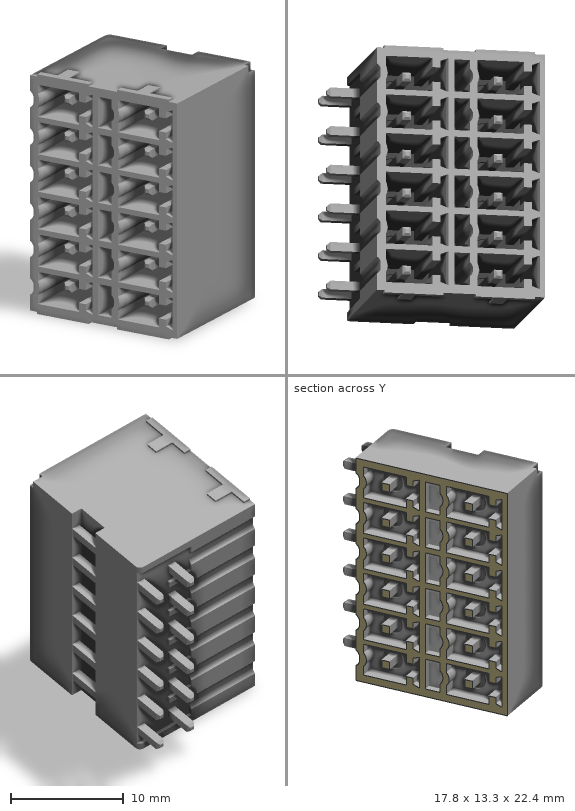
import cadquery as cq

body_width = 15.2
body_depth = 13.3
row_count = 6
row_pitch = 3.5
end_margin = 2.25
body_height = (row_count - 1) * row_pitch + 2 * end_margin
body_top = body_height / 2
row_heights = [(i - (row_count - 1) / 2) * row_pitch for i in range(row_count)]
rear_corner_radius = 0.5

column_pitch = 8.28
column_offsets = [0, column_pitch]
port_left = 0.8
port_width = 5.65
port_height = 3.0
port_depth = 8.0
mouth_taper_depth = 0.48
mouth_taper = 0.1
key_left = 5.03
key_thickness = 0.73
key_gap = 1.32
key_root_height = 2.56
key_slope_end = 6.38

groove_depth = 0.32
groove_half_width = 0.75
groove_flat_half_width = 0.35
flank_fullness = 0.6
groove_length = 7.3
bulge_half_width = 0.65
bulge_height = 0.28
bulge_mouth_height = 0.13

hollow_left = 7.0
hollow_height = 2.9
hollow_wall = 0.67
hollow_right = column_pitch + port_left - hollow_wall

recess_half_height_rear = 1.57
recess_half_height_front = 1.46
rib_thickness = 0.6
rib_length = 2.5

pin_size = 0.8
pin_tip_size = 0.36
tail_tip_length = 0.28
contact_tip_length = 0.22
contact_x = 3.01
contact_tip_y = 1.32
tail_end_x = -2.6
rear_tail_y = 12.85
tail_pitch = 3.5
socket_diameters = [2.0, 2.1]
socket_depth = 0.3

tab_left = 0.69
tab_width = 5.34
tab_bar_depth = 0.7
tab_stem_left = 2.4
tab_stem_width = 1.22
tab_length = 2.55
tab_height = 0.2

slot_left = 6.1
slot_width = 3.25
slot_depth = 1.07
corner_step_width = 0.45
corner_step_height = 0.75


def box(x, y, z, width, depth, height):
    """Box with its lowest corner at (x, y, z)."""
    return cq.Workplane("XY").box(width, depth, height, centered=False).translate((x, y, z))


def front_plane(y, x=0, z=0):
    """Plane parallel to the mating face; local X and Y run along global X and Z, normal to -Y."""
    return cq.Workplane("XZ", origin=(x, y, z))


def housing():
    """Plain block with one rounded rear edge."""
    body = box(0, 0, -body_top, body_width, body_depth, body_height)
    return body.edges("|Z and <X and >Y").fillet(rear_corner_radius)


def coding_tabs(x):
    """Matching T-shaped tabs above and below one column."""
    tabs = None
    for z in (body_top, -body_top - tab_height):
        bar = box(x + tab_left, 0, z, tab_width, tab_bar_depth, tab_height)
        stem = box(x + tab_stem_left, 0, z, tab_stem_width, tab_length, tab_height)
        tab = bar.union(stem)
        tabs = tab if tabs is None else tabs.union(tab)
    return tabs


def bulge_profile(workplane, height):
    """Circular segment standing on the local Y axis."""
    return (
        workplane.moveTo(0, -bulge_half_width)
        .threePointArc((height, 0), (0, bulge_half_width))
        .close()
    )


def bulge():
    """Rounded swelling on the left port wall, lower towards the mouth."""
    mouth = bulge_profile(front_plane(0), bulge_mouth_height)
    lead_in = bulge_profile(mouth.workplane(offset=-mouth_taper_depth), bulge_height).loft(ruled=True)
    deep = bulge_profile(front_plane(mouth_taper_depth), bulge_height)
    return lead_in.union(deep.extrude(mouth_taper_depth - port_depth))


def port_cavity(x, z):
    """Plug opening with two keys, a tapered right wall and a bulged left wall."""
    left = x + port_left
    right = left + port_width
    half = port_height / 2
    key_x = x + key_left
    key_end = key_x + key_thickness
    slope_end = x + key_slope_end
    upper = [
        (left, half),
        (key_x, half),
        (key_x, key_gap / 2),
        (key_end, key_gap / 2),
        (key_end, key_root_height / 2),
        (slope_end, half),
        (right, half),
    ]
    lower = [(px, -pz) for px, pz in reversed(upper)]
    cavity = front_plane(0, z=z).polyline(upper + lower).close().extrude(-port_depth)
    wall = (
        cq.Workplane("XY", origin=(0, 0, z - half))
        .polyline([
            (right, 0),
            (right - mouth_taper, mouth_taper_depth),
            (right - mouth_taper, port_depth),
            (right, port_depth),
        ])
        .close()
        .extrude(port_height)
    )
    return cavity.cut(wall).cut(bulge().translate((left, 0, z)))


def groove(x, z):
    """Flat-bottomed channel with rounded flanks, sunk into a wall facing -X."""
    mid_x = groove_depth * flank_fullness
    mid_z = groove_flat_half_width + (groove_half_width - groove_flat_half_width) * flank_fullness
    return (
        front_plane(0, x, z)
        .moveTo(0, -groove_half_width)
        .threePointArc((mid_x, -mid_z), (groove_depth, -groove_flat_half_width))
        .lineTo(groove_depth, groove_flat_half_width)
        .threePointArc((mid_x, mid_z), (0, groove_half_width))
        .close()
        .extrude(-groove_length)
    )


def hollow(z):
    """Room behind the second column's left wall, widened by the dent in that wall."""
    width = hollow_right - hollow_left
    room = box(hollow_left, 0, z - hollow_height / 2, width, groove_length, hollow_height)
    dent = bulge_profile(front_plane(0, hollow_right, z), bulge_height)
    return room.union(dent.extrude(-groove_length))


def tail_recess():
    """Shallow recess in the -X side, flush with the groove floors and tapering to the front."""
    rear_z = row_heights[-1] + recess_half_height_rear
    front_z = row_heights[-1] + recess_half_height_front
    recess = (
        cq.Workplane("YZ")
        .polyline([
            (groove_length, -front_z),
            (body_depth, -rear_z),
            (body_depth, rear_z),
            (groove_length, front_z),
        ])
        .close()
        .extrude(groove_depth)
    )
    for z in row_heights[:-1]:
        rib_z = z + row_pitch / 2 - rib_thickness / 2
        recess = recess.cut(box(0, groove_length, rib_z, groove_depth, rib_length, rib_thickness))
    return recess


def square_bar(length, tip_length):
    """Square bar along +Z whose tapered tip ends at the origin."""
    tip = (
        cq.Workplane("XY")
        .rect(pin_tip_size, pin_tip_size)
        .workplane(offset=tip_length)
        .rect(pin_size, pin_size)
        .loft(ruled=True)
    )
    shank = (
        cq.Workplane("XY", origin=(0, 0, tip_length))
        .rect(pin_size, pin_size)
        .extrude(length - tip_length)
    )
    return tip.union(shank)


def bent_pin(x, tail_y, z):
    """Contact along Y at the given x, bent square into a solder tail along X."""
    contact = square_bar(tail_y + pin_size / 2 - contact_tip_y, contact_tip_length)
    contact = contact.rotate((0, 0, 0), (1, 0, 0), -90)
    tail = square_bar(x + pin_size / 2 - tail_end_x, tail_tip_length)
    tail = tail.rotate((0, 0, 0), (0, 1, 0), 90)
    return contact.translate((x, contact_tip_y, z)).union(tail.translate((tail_end_x, tail_y, z)))


def contact_socket(x, diameter, z):
    """Shallow round recess around the contact in the port floor."""
    return front_plane(port_depth, x, z).circle(diameter / 2).extrude(-socket_depth)


result = housing()
for offset in column_offsets:
    result = result.union(coding_tabs(offset))

result = result.cut(tail_recess())
slot_floor = body_depth - slot_depth
result = result.cut(box(slot_left, slot_floor, -body_top, slot_width, slot_depth, body_height))
result = result.cut(
    box(
        body_width - corner_step_width,
        slot_floor,
        body_top - corner_step_height,
        corner_step_width,
        slot_depth,
        corner_step_height,
    )
)

for row_z in row_heights:
    result = result.cut(groove(0, row_z)).cut(hollow(row_z))
    for column, offset in enumerate(column_offsets):
        pin_x = contact_x + offset
        pin_y = rear_tail_y - (1 - column) * tail_pitch
        result = result.cut(port_cavity(offset, row_z))
        result = result.cut(contact_socket(pin_x, socket_diameters[column], row_z))
        result = result.union(bent_pin(pin_x, pin_y, row_z))